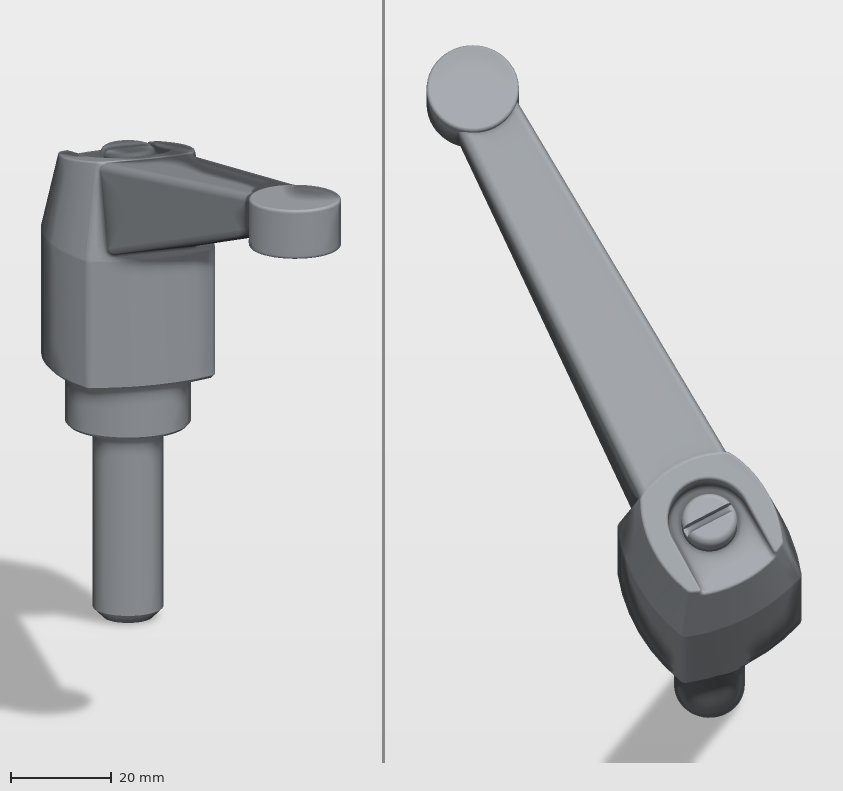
import cadquery as cq
import math


hub_length = 32.2
hub_width = 32.0
side_bulge = 2.6
corner_radius = 1.5
body_height = 26.8
head_draft = 10.0
head_blank_height = 20.7
top_slope = 10.0
top_height_on_axis = 44.4
hub_bottom_chamfer = 0.7
shoulder_radius = 2.5
rim_radius = 0.5
level_tolerance = 0.1

collar_diameter = 25.0
collar_length = 11.6
collar_chamfer = 0.6
stud_diameter = 14.0
stud_end = -51.6
stud_chamfer = 2.1

pocket_width = 16.5
pocket_floor = 41.1
pocket_floor_radius = 0.7
screw_diameter = 11.0
screw_top = 45.5
screw_edge_radius = 1.3
slot_width = 1.8
slot_depth = 1.8

overall_length = 122.0
knob_diameter = 18.3
knob_height = 10.1
knob_top = 62.3
knob_edge_radius = 0.6
knob_center = overall_length - hub_length / 2 - knob_diameter / 2

arm_start = 9.8
knob_overlap = 4.3
arm_end = knob_center - knob_diameter / 2 + knob_overlap
arm_start_top = 45.9
arm_end_top = 62.0
arm_start_bottom = 26.5
arm_end_bottom = 53.9
arm_start_width = 19.8
arm_end_width = 13.3
arm_top_radius = 1.7
arm_bottom_radius = 1.3
arm_root_radius = 0.6
root_margin = 1.2


def hub_outline(inset, z):
    """Closed wire of the hub outline, moved inwards by inset: bulged sides and rounded corners."""
    half_x = hub_length / 2 - inset
    half_y = hub_width / 2 - inset
    corner_x = half_x - side_bulge
    corner_y = half_y - side_bulge
    plate = (
        cq.Workplane("XY", origin=(0, 0, z))
        .moveTo(-corner_x, -corner_y)
        .threePointArc((0, -half_y), (corner_x, -corner_y))
        .threePointArc((half_x, 0), (corner_x, corner_y))
        .threePointArc((0, half_y), (-corner_x, corner_y))
        .threePointArc((-half_x, 0), (-corner_x, -corner_y))
        .close()
        .extrude(hub_length)
        .edges("|Z")
        .fillet(corner_radius)
    )
    return plate.faces("<Z").wires().val()


def cylinder(diameter, bottom, top, x=0):
    """Upright cylinder between two heights."""
    return cq.Workplane("XY", origin=(x, 0, bottom)).circle(diameter / 2).extrude(top - bottom)


def box_between(corner_a, corner_b):
    """Selector for what has its centre inside the box."""
    return cq.selectors.BoxSelector(corner_a, corner_b)


def level_band(z):
    """Selector for what has its centre within the tolerance of height z on the hub."""
    reach = hub_length
    return box_between((-reach, -reach, z - level_tolerance), (reach, reach, z + level_tolerance))


def make_hub():
    body = cq.Workplane("XY").add(hub_outline(0, 0)).toPending().extrude(body_height)
    body = body.faces("<Z").chamfer(hub_bottom_chamfer)

    top_inset = head_blank_height * math.tan(math.radians(head_draft))
    wires = [
        hub_outline(0, body_height),
        hub_outline(top_inset, body_height + head_blank_height),
    ]
    head = cq.Workplane(cq.Solid.makeLoft(wires, True))

    above = (
        cq.Workplane("XY")
        .rect(2 * hub_length, 2 * hub_width)
        .extrude(hub_length)
        .rotate((0, 0, 0), (0, 1, 0), -top_slope)
        .translate((0, 0, top_height_on_axis))
    )
    hub = body.union(head.cut(above))
    hub = hub.edges(level_band(body_height)).fillet(shoulder_radius)

    hub = hub.cut(make_pocket())
    slope = math.radians(top_slope)
    top_normal = cq.Vector(-math.sin(slope), 0, math.cos(slope))
    top_edges = hub.faces(cq.selectors.ParallelDirSelector(top_normal)).edges()
    floor_edge = hub.faces(level_band(pocket_floor)).edges("<X")
    return top_edges.add(floor_edge).fillet(rim_radius)


def make_pocket():
    """Round-ended pocket around the stud axis, open towards -X."""
    depth = hub_width
    channel = (
        cq.Workplane("XY", origin=(-hub_length / 2, 0, pocket_floor))
        .rect(hub_length, pocket_width)
        .extrude(depth)
    )
    pocket = channel.union(cylinder(pocket_width, pocket_floor, pocket_floor + depth))
    return pocket.faces("<Z").edges("not <X").fillet(pocket_floor_radius)


def make_screw_head():
    head = cylinder(screw_diameter, body_height, screw_top)
    head = head.faces(">Z").edges().fillet(screw_edge_radius)
    slot = (
        cq.Workplane("XY", origin=(0, 0, screw_top - slot_depth))
        .rect(slot_width, screw_diameter)
        .extrude(slot_depth)
    )
    return head.cut(slot)


def make_arm():
    side_view = (
        cq.Workplane("XZ")
        .moveTo(arm_start, arm_start_bottom)
        .lineTo(arm_end, arm_end_bottom)
        .lineTo(arm_end, arm_end_top)
        .lineTo(arm_start, arm_start_top)
        .close()
        .extrude(arm_start_width, both=True)
    )
    plan = (
        cq.Workplane("XY")
        .moveTo(arm_start, -arm_start_width / 2)
        .lineTo(arm_end, -arm_end_width / 2)
        .lineTo(arm_end, arm_end_width / 2)
        .lineTo(arm_start, arm_start_width / 2)
        .close()
        .extrude(knob_top)
    )
    arm = side_view.intersect(plan)

    long_edges = "not (|Y or |Z)"
    arm = arm.edges(long_edges).edges(">Z").fillet(arm_top_radius)
    return arm.edges(long_edges).edges("<Z").fillet(arm_bottom_radius)


def make_knob():
    knob = cylinder(knob_diameter, knob_top - knob_height, knob_top, knob_center)
    return knob.faces("<Z or >Z").edges().fillet(knob_edge_radius)


def make_stud():
    collar = cylinder(collar_diameter, -collar_length, 0).faces("<Z").chamfer(collar_chamfer)
    stud = cylinder(stud_diameter, stud_end, 0).faces("<Z").chamfer(stud_chamfer)
    return collar.union(stud)


def make_lever():
    """Hub and arm joined, with the sides and underside of the arm root rounded."""
    lever = make_hub().union(make_arm())
    root = box_between(
        (arm_start + root_margin, -arm_start_width / 2, body_height + root_margin),
        (hub_length / 2, arm_start_width / 2, top_height_on_axis),
    )
    return lever.edges(root).fillet(arm_root_radius)


clamping_lever = (
    make_lever()
    .union(make_screw_head())
    .union(make_knob())
    .union(make_stud())
)
result = cq.Workplane(clamping_lever.solids().val())